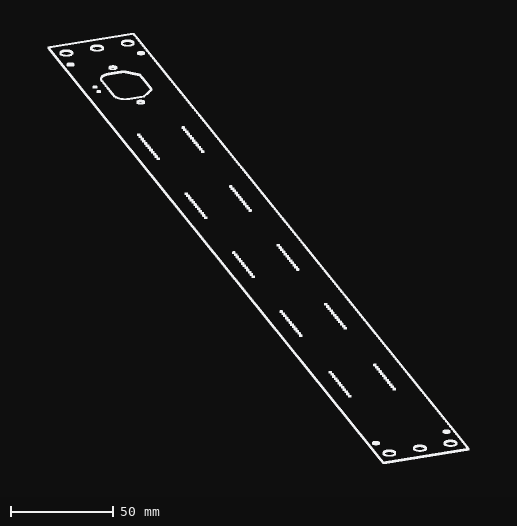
import cadquery as cq

panel_length = 482.5
panel_height = 44.5
panel_thickness = 0.6

mount_radius = 3.0
mount_x = 232.5
mount_pitch_y = 16.0

corner_diameter = 3.0
corner_x = 220.0
corner_y = 18.5

socket_x = -189.5
socket_width = 29.5
socket_height = 20.0
socket_top_chamfer = 6.5
socket_bottom_radius = 6.0

socket_screw_diameter = 3.5
socket_screw_spacing = 40.0

pin_diameter = 1.5
pin_x = -190.0
pin_spacing = 5.5
pin_y = -15.5

header_diameter = 1.0
header_holes = 12
header_length = 28.0
header_hole_pitch = header_length / (header_holes - 1)
header_centers_x = (-122.5, -54.0, 14.5, 83.0, 153.5)
header_rows_y = (10.0, -13.0)

cut_depth = 2 * panel_thickness


def round_holes(diameter, centers):
    """Cylinders that cut round holes through the panel at the given centers."""
    return cq.Workplane("XY").pushPoints(centers).circle(diameter / 2).extrude(cut_depth, both=True)


def socket_opening():
    """Block that cuts the socket opening through the panel."""
    block = cq.Workplane("XY").box(socket_width, socket_height, cut_depth)
    block = block.edges("|Z and >Y").chamfer(socket_top_chamfer)
    block = block.edges("|Z and <Y").fillet(socket_bottom_radius)
    return block.translate((socket_x, 0, 0))


def header_centers():
    """Hole centers of all headers, each header centered on its own place in the row."""
    return [
        (center_x - header_length / 2 + hole * header_hole_pitch, y)
        for center_x in header_centers_x
        for y in header_rows_y
        for hole in range(header_holes)
    ]


mount_centers = [(x, row * mount_pitch_y) for x in (-mount_x, mount_x) for row in (-1, 0, 1)]
corner_centers = [(x, y) for x in (-corner_x, corner_x) for y in (-corner_y, corner_y)]
socket_screw_centers = [(socket_x + side * socket_screw_spacing / 2, 0) for side in (-1, 1)]
pin_centers = [(pin_x + side * pin_spacing / 2, pin_y) for side in (-1, 1)]

result = cq.Workplane("XY").box(panel_length, panel_height, panel_thickness)
result = result.cut(round_holes(2 * mount_radius, mount_centers))
result = result.cut(round_holes(corner_diameter, corner_centers))
result = result.cut(round_holes(socket_screw_diameter, socket_screw_centers))
result = result.cut(round_holes(pin_diameter, pin_centers))
result = result.cut(socket_opening())
result = result.cut(round_holes(header_diameter, header_centers()))